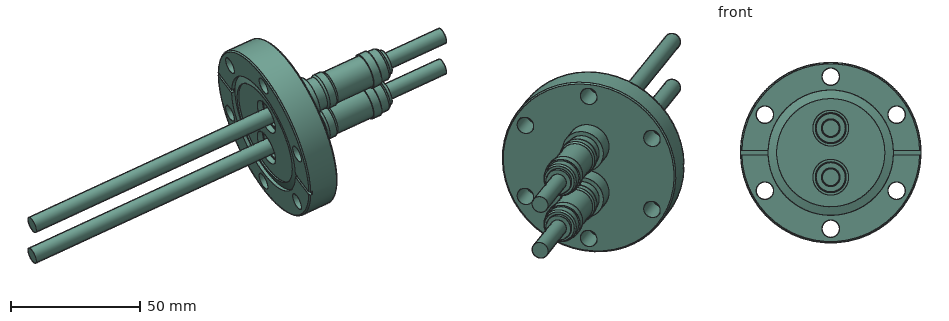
import cadquery as cq
import math


flange_diameter = 69.8
flange_thickness = 12.7
flange_edge_chamfer = 0.5
bolt_count = 6
bolt_circle_diameter = 58.7
bolt_hole_diameter = 6.6

recess_diameter = 48.5
knife_tip_diameter = 41.8
knife_foot_depth = 1.5
knife_tip_depth = 0.5
recess_floor_depth = 1.3

groove_width = 1.7
groove_depth = 1.3
groove_overlap = 0.2

overall_length = 184.2
rod_front_length = 103.9
rod_diameter = 6.5
rod_spacing = 19.0

collar_diameter = 16.4
collar_end_y = 20.6
body_diameter = 13.0
body_end_y = 53.4
body_end_bevel_height = 0.5
body_end_bevel_length = 1.0
band_diameter = 14.2
front_band_start_y = 24.9
front_band_end_y = 29.6
front_band_bevel_length = 1.0
rear_band_start_y = 45.5
rear_band_end_y = 49.0
tip_diameter = 10.0
tip_end_y = 54.9

socket_diameter = 13.8
socket_depth = 3.7
tube_outer_diameter = 12.0
tube_bore_diameter = 11.2
tube_height = 0.5
tube_bore_depth = 19.3
rod_clearance_diameter = 7.2
rod_clearance_depth = 22.1


def cylinder(diameter, start_y, end_y, z=0.0, x=0.0):
    """Solid cylinder along Y between two distances from the sealing face."""
    axis_start = cq.Vector(x, start_y, z)
    solid = cq.Solid.makeCylinder(diameter / 2, end_y - start_y, axis_start, cq.Vector(0, 1, 0))
    return cq.Workplane(obj=solid)


def sealing_recess():
    """Volume removed from the sealing face, leaving a ring that rises to a knife edge."""
    profile = [
        (0, 0),
        (recess_diameter / 2, 0),
        (recess_diameter / 2, knife_foot_depth),
        (knife_tip_diameter / 2, knife_tip_depth),
        (knife_tip_diameter / 2, recess_floor_depth),
        (0, recess_floor_depth),
    ]
    return cq.Workplane("XY").polyline(profile).close().revolve(360, (0, 0, 0), (0, 1, 0))


def make_flange():
    flange = cylinder(flange_diameter, 0, flange_thickness).edges().chamfer(flange_edge_chamfer)
    flange = flange.cut(sealing_recess())
    for index in range(bolt_count):
        angle = math.radians(90 + index * 360 / bolt_count)
        bolt_x = bolt_circle_diameter / 2 * math.cos(angle)
        bolt_z = bolt_circle_diameter / 2 * math.sin(angle)
        flange = flange.cut(cylinder(bolt_hole_diameter, 0, flange_thickness, bolt_z, bolt_x))
    groove_start = recess_diameter / 2 - groove_overlap
    groove_length = flange_diameter / 2 - groove_start
    for side in (-1, 1):
        groove_x = side * (groove_start + groove_length / 2)
        groove = cq.Workplane("XY").box(groove_length, 2 * groove_depth, groove_width)
        flange = flange.cut(groove.translate((groove_x, 0, 0)))
    return flange


def make_sleeve(z):
    """Collar, banded body and tip around one rod, starting at the flange's back face."""
    body = cylinder(body_diameter, flange_thickness, body_end_y, z)
    body = body.faces(">Y").chamfer(body_end_bevel_length, body_end_bevel_height)
    band_height = (band_diameter - body_diameter) / 2
    front_band = cylinder(band_diameter, front_band_start_y, front_band_end_y, z)
    front_band = front_band.faces("<Y or >Y").chamfer(front_band_bevel_length, band_height)
    sleeve = body.union(front_band)
    sleeve = sleeve.union(cylinder(collar_diameter, flange_thickness, collar_end_y, z))
    sleeve = sleeve.union(cylinder(band_diameter, rear_band_start_y, rear_band_end_y, z))
    return sleeve.union(cylinder(tip_diameter, body_end_y, tip_end_y, z))


def make_socket(z):
    """Bore around one rod, stepped, with a bevelled tube end left standing on the first floor."""
    tube_start = socket_depth - tube_height
    bevel = (tube_outer_diameter - tube_bore_diameter) / 2
    tube_end = cylinder(tube_outer_diameter, tube_start, socket_depth, z).faces("<Y").chamfer(bevel)
    socket = cylinder(socket_diameter, 0, socket_depth, z).cut(tube_end)
    socket = socket.union(cylinder(tube_bore_diameter, 0, tube_bore_depth, z))
    return socket.union(cylinder(rod_clearance_diameter, 0, rod_clearance_depth, z))


def make_rod(z):
    return cylinder(rod_diameter, -rod_front_length, overall_length - rod_front_length, z)


result = make_flange()
for rod_z in (-rod_spacing / 2, rod_spacing / 2):
    result = result.union(make_sleeve(rod_z))
    result = result.cut(make_socket(rod_z))
    result = result.union(make_rod(rod_z))